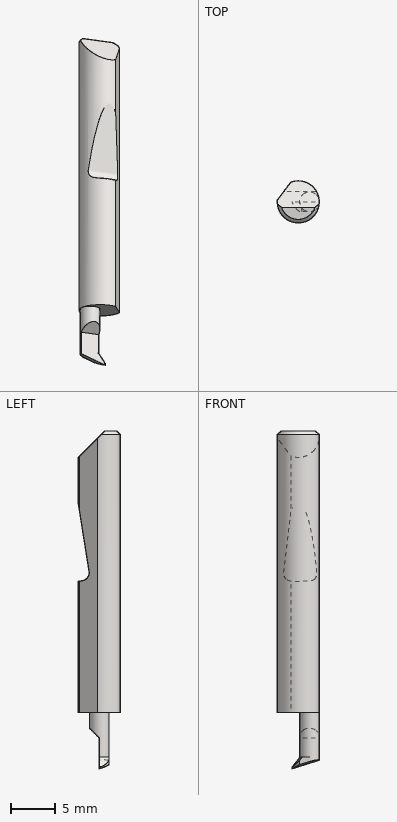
import cadquery as cq
import math

shank_diameter = 4.76
shank_radius = shank_diameter / 2
shank_length = 31.75
overall_length = 38.1
reach = overall_length - shank_length
end_chamfer = 0.4

flat_distance = 2.01
flat_direction = 143.0

top_face_start_y = -0.61

notch_start_z = shank_length - 8.15
ramp_length = 8.7
ramp_angle = 9.0
notch_fillet = 0.9

neck_radius = 1.115
neck_x = shank_radius - neck_radius
chip_face_end_z = -2.87

tip_top_z = -5.03
tip_point_x = -0.69
flank_angle = 52.0
end_edge_angle = 17.5
relief_angle = 10.0
nose_land = 0.2
heel_x = 0.16
heel_bulge = 0.08

margin = 2.0


def make_shank():
    """Round bar with a chamfered top edge."""
    return (
        cq.Workplane("XY")
        .circle(shank_radius)
        .extrude(shank_length)
        .faces(">Z")
        .chamfer(end_chamfer)
    )


def flat_cutter():
    """Block that leaves the locating flat along the shank."""
    size = 2 * shank_diameter
    return (
        cq.Workplane("XY")
        .box(size, size, shank_length, centered=(False, True, False))
        .translate((flat_distance, 0, 0))
        .rotate((0, 0, 0), (0, 0, 1), flat_direction)
    )


def top_face_cutter():
    """Wedge above the 45 degree face at the top end."""
    wedge_y = shank_radius + margin
    drop = wedge_y - top_face_start_y
    return (
        cq.Workplane("YZ")
        .moveTo(top_face_start_y, shank_length)
        .lineTo(wedge_y, shank_length - drop)
        .lineTo(wedge_y, shank_length)
        .close()
        .extrude(shank_radius + margin, both=True)
    )


def notch_cutter():
    """Prism removing the clamping notch, with a rounded inner corner."""
    angle = math.radians(ramp_angle)
    corner_y = shank_radius - ramp_length * math.sin(angle)
    corner_z = notch_start_z - ramp_length * math.cos(angle)
    outer_y = shank_radius + margin
    step_end_z = corner_z - (outer_y - corner_y) * math.tan(angle)
    ramp_end_z = corner_z + (outer_y - corner_y) / math.tan(angle)
    return (
        cq.Workplane("YZ")
        .moveTo(corner_y, corner_z)
        .lineTo(outer_y, step_end_z)
        .lineTo(outer_y, ramp_end_z)
        .close()
        .extrude(shank_radius + margin, both=True)
        .edges("<Y")
        .fillet(notch_fillet)
    )


def make_neck():
    """Round neck whose +Y half ends in a 45 degree face at the rake plane."""
    neck = cq.Workplane("XY").center(neck_x, 0).circle(neck_radius).extrude(-reach)
    cut_y = neck_radius + margin
    chip_space = (
        cq.Workplane("YZ")
        .moveTo(0, chip_face_end_z)
        .lineTo(cut_y, chip_face_end_z + cut_y)
        .lineTo(cut_y, -reach)
        .lineTo(0, -reach)
        .close()
        .extrude(shank_diameter, both=True)
    )
    return neck.cut(chip_space)


def make_tip_block():
    """Tip stock: flat front, bowed heel from the point round to the front."""
    mid_x = (tip_point_x + heel_x) / 2 - heel_bulge
    mid_y = -neck_radius / 2 - heel_bulge
    return (
        cq.Workplane("XY", origin=(0, 0, tip_top_z))
        .moveTo(tip_point_x, 0)
        .threePointArc((mid_x, mid_y), (heel_x, -neck_radius))
        .lineTo(neck_x, -neck_radius)
        .lineTo(neck_x, 0)
        .close()
        .extrude(-(reach + tip_top_z))
    )


def relief_cutter(start_z, edge_angle, side):
    """Block beyond one cutting edge, its face leaning back behind the rake face.

    The edge starts at the tip's outermost X at start_z and climbs towards +X at edge_angle.
    A side of +1 removes the material above the edge, -1 the material below it.
    """
    size = 2 * reach
    block = cq.Workplane("XY").box(size, size, size, centered=(True, True, False))
    if side < 0:
        block = block.mirror("XY")
    return (
        block.rotate((0, 0, 0), (1, 0, 0), side * relief_angle)
        .rotate((0, 0, 0), (0, 1, 0), -edge_angle)
        .translate((tip_point_x, 0, start_z))
    )


def make_cutting_end():
    """Neck and tip, ground along the end edge and, below the tip's top level, the flank."""
    stock = make_neck().union(make_tip_block())
    tip_zone = (
        cq.Workplane("XY", origin=(0, 0, tip_top_z))
        .rect(2 * shank_diameter, 2 * shank_diameter)
        .extrude(-reach)
    )
    end_cutter = relief_cutter(-reach, end_edge_angle, -1)
    flank_cutter = relief_cutter(-reach + nose_land, flank_angle, 1).intersect(tip_zone)
    return stock.cut(end_cutter).cut(flank_cutter)


shank = make_shank().cut(flat_cutter()).cut(top_face_cutter()).cut(notch_cutter())
result = shank.union(make_cutting_end())